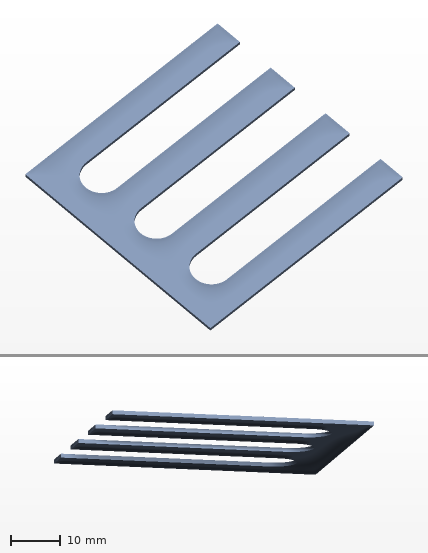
import cadquery as cq

plate_width = 54.0
plate_length = 54.5
plate_thickness = 0.8

slot_count = 3
slot_width = 9.0
slot_pitch = 16.0
base_depth = 6.5

slot_radius = slot_width / 2
front_edge = -plate_length / 2
back_edge = plate_length / 2
slot_bottom = front_edge + base_depth
arc_start = slot_bottom + slot_radius


def open_slot(center_x):
    """Cutter for one slot with a semicircular closed end."""
    left = center_x - slot_radius
    right = center_x + slot_radius
    return (
        cq.Workplane("XY")
        .moveTo(left, back_edge)
        .lineTo(left, arc_start)
        .threePointArc((center_x, slot_bottom), (right, arc_start))
        .lineTo(right, back_edge)
        .close()
        .extrude(plate_thickness)
    )


result = cq.Workplane("XY").box(
    plate_width, plate_length, plate_thickness, centered=(True, True, False)
)
for index in range(slot_count):
    slot_x = (index - (slot_count - 1) / 2) * slot_pitch
    result = result.cut(open_slot(slot_x))